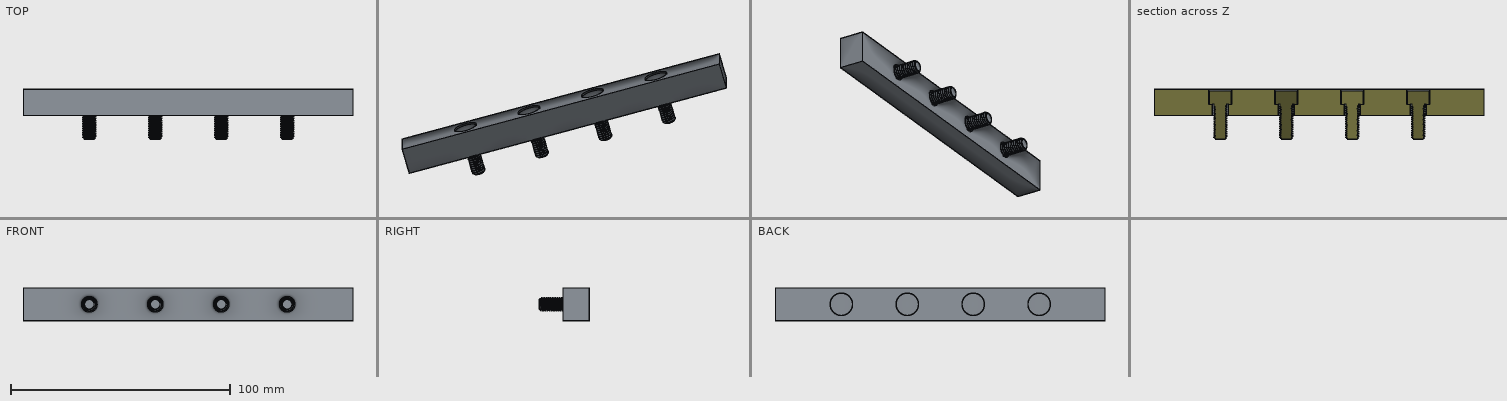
import cadquery as cq
import math

bar_length = 150.0
bar_depth = 12.0
bar_height = 15.0

screw_count = 4
screw_spacing = 30.0
screw_reach = 10.8
head_diameter = 10.0
head_height = 6.0

clearance_diameter = 7.2
counterbore_diameter = 10.4
counterbore_depth = 6.8

thread_diameter = 6.0
thread_pitch = 1.0
tip_diameter = 4.4
crest_flat = thread_pitch / 4
flank_angle = 30
flank_tangent = math.tan(math.radians(flank_angle))
groove_depth = (thread_pitch - crest_flat) / (2 * flank_tangent)

thread_radius = thread_diameter / 2
tip_chamfer = (thread_diameter - tip_diameter) / 2
web_depth = bar_depth - counterbore_depth
shank_length = web_depth + screw_reach

seat_y = bar_depth / 2 - counterbore_depth
screw_places = [
    (i - (screw_count - 1) / 2) * screw_spacing for i in range(screw_count)
]


def place_along_bar(shape, x):
    """Turn a shape built up the Z axis to point out of the front face, at place x.

    Its origin goes to the counterbore floor, where the screw head sits.
    """
    return shape.rotate((0, 0, 0), (1, 0, 0), 90).translate((x, seat_y, 0))


def make_hole_cutter():
    """Clearance hole with a counterbore from the back."""
    clearance = cq.Workplane("XY").circle(clearance_diameter / 2).extrude(web_depth)
    counterbore = cq.Workplane("XY").circle(counterbore_diameter / 2).extrude(-counterbore_depth)
    return clearance.union(counterbore)


def make_bar():
    bar = cq.Workplane("XY").box(bar_length, bar_depth, bar_height)
    for x in screw_places:
        bar = bar.cut(place_along_bar(make_hole_cutter(), x))
    return bar


def make_thread_groove():
    """Helical vee groove from one pitch in front of the head to past the screw tip."""
    start = thread_pitch
    overshoot = groove_depth / 8
    root_radius = thread_radius - groove_depth
    outer_radius = thread_radius + overshoot
    outer_half_width = (groove_depth + overshoot) * flank_tangent
    helix = cq.Wire.makeHelix(thread_pitch, shank_length, root_radius)
    groove = (
        cq.Workplane("XZ")
        .moveTo(root_radius, 0)
        .lineTo(outer_radius, outer_half_width)
        .lineTo(outer_radius, -outer_half_width)
        .close()
        .sweep(cq.Workplane("XY").add(helix), isFrenet=True)
    )
    return groove.translate((0, 0, start))


def make_screw(x):
    """Cap screw with a plain round head, a threaded shank and a chamfered tip."""
    shank = (
        cq.Workplane("XY")
        .circle(thread_radius)
        .extrude(shank_length)
        .faces(">Z")
        .chamfer(tip_chamfer)
        .cut(make_thread_groove())
    )
    head = cq.Workplane("XY").circle(head_diameter / 2).extrude(-head_height)
    return place_along_bar(shank.union(head), x)


bar = make_bar()
screws = [make_screw(x) for x in screw_places]
result = cq.Compound.makeCompound([bar.val(), *[screw.val() for screw in screws]])